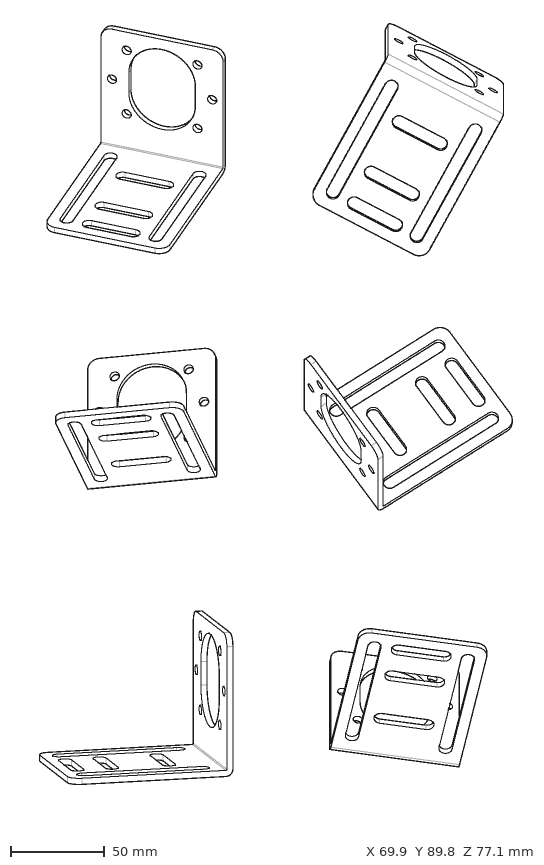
import cadquery as cq

width = 69.9
depth = 89.8
height = 77.1
thickness = 3.4
inner_bend_radius = 0.5
outer_bend_radius = thickness + inner_bend_radius
corner_radius = 6.4

opening_width = 37.9
opening_height = 50.6
opening_center_z = 45.3
bolt_circle_diameter = 57.1
bolt_hole_diameter = 5.1
bolt_angles = (0, 45, 135, 180, 225, 315)

slot_width = 7.1
long_slot_length = 73.0
long_slot_spacing = 50.7
long_slot_center_y = 42.65
cross_slot_length = 32.3
cross_slot_centers_y = (9.7, 28.8, 60.3)


def bent_plate():
    """L-shaped sheet with a rounded bend and rounded free corners."""
    profile = (
        cq.Workplane("YZ")
        .polyline([
            (0, 0),
            (depth, 0),
            (depth, height),
            (depth - thickness, height),
            (depth - thickness, thickness),
            (0, thickness),
        ])
        .close()
        .extrude(width / 2, both=True)
    )
    outer_bend = cq.selectors.NearestToPointSelector((0, depth, 0))
    inner_bend = cq.selectors.NearestToPointSelector((0, depth - thickness, thickness))
    plate = profile.edges(outer_bend).fillet(outer_bend_radius)
    plate = plate.edges(inner_bend).fillet(inner_bend_radius)
    plate = plate.faces("<Y").edges("|Z").fillet(corner_radius)
    return plate.faces(">Z").edges("|Y").fillet(corner_radius)


def upright_cutter():
    """Obround opening and bolt holes, running through the upright plate."""
    sketch_plane = cq.Workplane("XZ", origin=(0, depth, opening_center_z))
    cutter = sketch_plane.slot2D(opening_height, opening_width, 90).extrude(thickness)
    for angle in bolt_angles:
        hole = (
            sketch_plane
            .polarArray(bolt_circle_diameter / 2, angle, 360, 1)
            .circle(bolt_hole_diameter / 2)
            .extrude(thickness)
        )
        cutter = cutter.union(hole)
    return cutter


def base_cutter():
    """Two long slots along Y and three cross slots along X."""
    long_slots = (
        cq.Workplane("XY")
        .pushPoints([(side * long_slot_spacing / 2, long_slot_center_y) for side in (-1, 1)])
        .slot2D(long_slot_length, slot_width, 90)
        .extrude(thickness)
    )
    cross_slots = (
        cq.Workplane("XY")
        .pushPoints([(0, y) for y in cross_slot_centers_y])
        .slot2D(cross_slot_length, slot_width)
        .extrude(thickness)
    )
    return long_slots.union(cross_slots)


result = bent_plate().cut(upright_cutter()).cut(base_cutter())